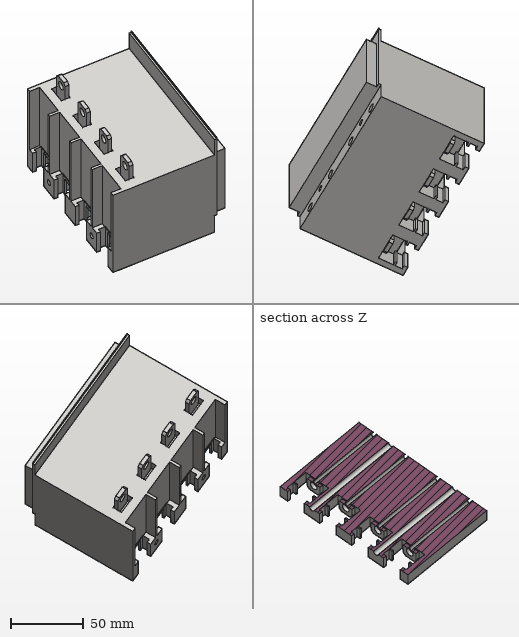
import cadquery as cq


WIDTH = 120.0
BODY_DEPTH = 80.5
BODY_HEIGHT = 75.0
POLE_COUNT = 4
PITCH = WIDTH / POLE_COUNT
SIDE_WALL = 3.0
RIB_THICKNESS = 2.0

RECESS_DEPTH = 8.0
RECESS_BOTTOM = 18.5

SLOT_WIDTH = 21.0
MOUTH_WIDTH = 15.5
LIP_THICKNESS = 3.0
SLOT_BACK = 8.5
WINDOW_PLATE = 1.5
CHAMBER_TOP = 14.75
CHAMBER_WIDTH = SLOT_WIDTH
POCKET_BACK = 21.5

POCKET_WIDTH = 13.5
POCKET_LENGTH = 7.0
POCKET_DEPTH = 8.0

BAR_WIDTH = 12.0
BAR_THICKNESS = 3.0
BAR_FRONT = 18.0
BAR_BOTTOM = 0.5
BAR_TOP = 88.5
BAR_CHAMFER = 2.0
BAR_HOLE_DIAMETER = 6.2
BAR_HOLE_INSET = 6.4

MOUNT_HOLE_DIAMETER = 4.2
MOUNT_HOLE_Z = 9.75

REAR_BOTTOM = 16.0
FLANGE_THICKNESS = 1.5
FLANGE_TOP = 90.0
SHEET_THICKNESS = 0.5
SHEET_TOP = 91.0
COVER_DEPTH = 8.0
COVER_TOP = 74.0

SHEET_FRONT = BODY_DEPTH + FLANGE_THICKNESS
COVER_FRONT = SHEET_FRONT + SHEET_THICKNESS
POLE_CENTRES = [(i - (POLE_COUNT - 1) / 2) * PITCH for i in range(POLE_COUNT)]


def block(x_range, y_range, z_range):
    """Box spanning the given (low, high) range on each axis."""
    spans = [high - low for low, high in (x_range, y_range, z_range)]
    corner = (x_range[0], y_range[0], z_range[0])
    return cq.Workplane("XY").box(*spans, centered=False).translate(corner)


def centred_block(x, width, y_range, z_range):
    """Box of the given width centred on x."""
    return block((x - width / 2, x + width / 2), y_range, z_range)


def through_hole(x, z, diameter):
    """Cylinder along Y, long enough to pass through the body."""
    return cq.Workplane("XZ", origin=(x, 0, z)).circle(diameter / 2).extrude(-BODY_DEPTH)


def front_recess(pole):
    """Open-topped recess between the two ribs or walls beside a pole."""
    left = pole * PITCH + RIB_THICKNESS / 2 - WIDTH / 2
    right = left + PITCH - RIB_THICKNESS
    left = max(left, SIDE_WALL - WIDTH / 2)
    right = min(right, WIDTH / 2 - SIDE_WALL)
    return block((left, right), (0, RECESS_DEPTH), (RECESS_BOTTOM, BODY_HEIGHT))


def terminal_slot(x):
    """Lipped slot at the front, its window plate and the chamber behind."""
    chamber_front = SLOT_BACK + WINDOW_PLATE
    mouth = centred_block(x, MOUTH_WIDTH, (0, LIP_THICKNESS), (0, RECESS_BOTTOM))
    slot = centred_block(x, SLOT_WIDTH, (LIP_THICKNESS, SLOT_BACK), (0, RECESS_BOTTOM))
    window = centred_block(x, MOUTH_WIDTH, (SLOT_BACK, chamber_front), (0, CHAMBER_TOP))
    chamber = centred_block(x, CHAMBER_WIDTH, (chamber_front, POCKET_BACK), (0, CHAMBER_TOP))
    return mouth.union(slot).union(window).union(chamber)


def top_pocket(x):
    """Rectangular pocket around the upper end of a terminal bar."""
    y_range = (POCKET_BACK - POCKET_LENGTH, POCKET_BACK)
    return centred_block(x, POCKET_WIDTH, y_range, (BODY_HEIGHT - POCKET_DEPTH, BODY_HEIGHT))


def terminal_bar(x):
    """Vertical bar through the body, with chamfered ends."""
    y_range = (BAR_FRONT, BAR_FRONT + BAR_THICKNESS)
    bar = centred_block(x, BAR_WIDTH, y_range, (BAR_BOTTOM, BAR_TOP))
    return bar.edges("|Y").chamfer(BAR_CHAMFER)


def rear_panels():
    """Flange, thin sheet and cover behind the body."""
    flange = centred_block(0, WIDTH, (BODY_DEPTH, SHEET_FRONT), (REAR_BOTTOM, FLANGE_TOP))
    sheet = centred_block(0, WIDTH, (SHEET_FRONT, COVER_FRONT), (REAR_BOTTOM, SHEET_TOP))
    cover_y = (COVER_FRONT, COVER_FRONT + COVER_DEPTH)
    cover = centred_block(0, WIDTH - 2 * SIDE_WALL, cover_y, (REAR_BOTTOM, COVER_TOP))
    return flange.union(sheet).union(cover)


result = centred_block(0, WIDTH, (0, BODY_DEPTH), (0, BODY_HEIGHT)).union(rear_panels())

for pole, pole_x in enumerate(POLE_CENTRES):
    result = result.cut(front_recess(pole))
    result = result.cut(terminal_slot(pole_x))
    result = result.cut(top_pocket(pole_x))
    result = result.union(terminal_bar(pole_x))
    for hole_z in (BAR_BOTTOM + BAR_HOLE_INSET, BAR_TOP - BAR_HOLE_INSET):
        result = result.cut(through_hole(pole_x, hole_z, BAR_HOLE_DIAMETER))

for mount_x in (-PITCH, PITCH):
    result = result.cut(through_hole(mount_x, MOUNT_HOLE_Z, MOUNT_HOLE_DIAMETER))